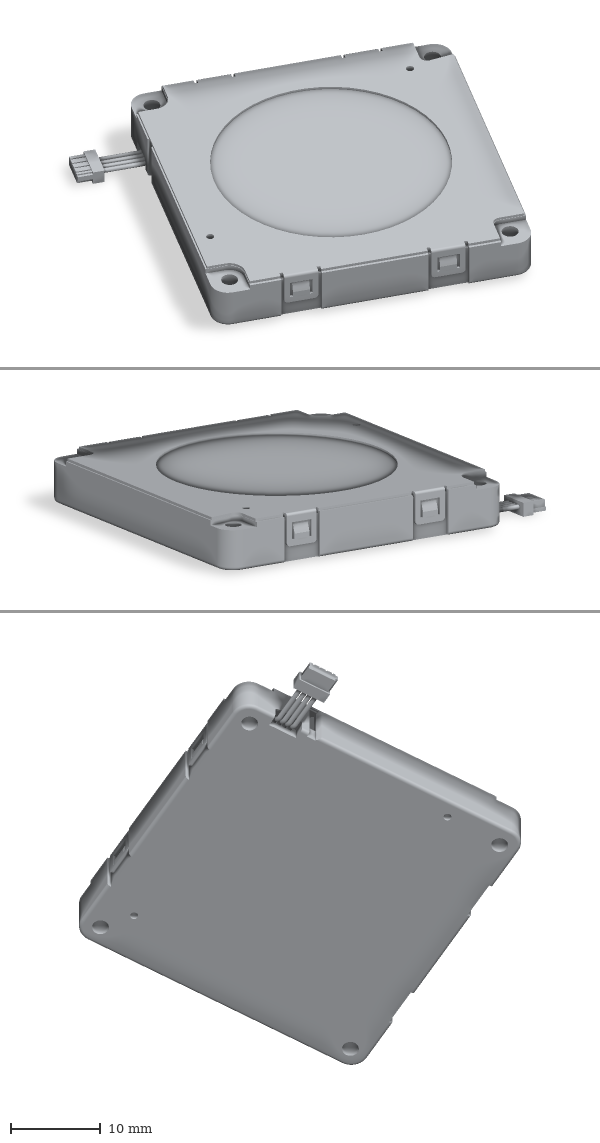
import cadquery as cq

BODY = 37.0
HALF = BODY / 2
HEIGHT = 5.6
COVER_THICK = 0.3
RIM_Z = HEIGHT - COVER_THICK
CORNER_RADIUS = 2.0
BOTTOM_FILLET = 0.4
COVER_INSET_X = 0.3
COVER_INSET_Y = 0.2
HUB_RADIUS = 13.48

MOUNT_OFFSET = 16.2
MOUNT_RADIUS = 0.95
PAD_Z = HEIGHT - 0.9
PAD_X = HALF - 4.07
PAD_Y = HALF - 4.05
PAD_RADIUS = MOUNT_OFFSET - PAD_X
BACK_PAD_Y = HALF - 3.95
BACK_RIGHT_PAD_X = HALF - 3.85
BACK_LEFT_PAD_X = HALF - 3.95
BACK_LEFT_TOP_X = HALF - 3.4
BACK_PAD_RADIUS = 0.85
PAD_OVERRUN = 0.9
COVER_GAP = 0.05

PIN_HOLE_RADIUS = 0.45
PIN_HOLES = [(-13.8, 12.95), (9.25, -16.5)]

CLIP_Y = 8.5
CLIP_RECESS_WIDTH = 4.7
CLIP_RECESS_DEPTH = 0.45
TAB_WIDTH = 3.95
TAB_LENGTH = 3.8
TAB_CORNER = 0.45
TAB_SETBACK = CLIP_RECESS_DEPTH - COVER_THICK
TAB_BEND_RADIUS = 0.3
TAB_ROOT = 0.9
RELIEF_DEPTH = 0.85
RELIEF_DROP = 0.63
WINDOW_WIDTH = 2.6
WINDOW_TOP = HEIGHT - 1.07
WINDOW_HEIGHT = 1.95
WINDOW_BOTTOM = WINDOW_TOP - WINDOW_HEIGHT
LATCH_WIDTH = 1.95
LATCH_TOP = WINDOW_TOP - 0.3
LATCH_STEP_TOP = LATCH_TOP - 0.75
LATCH_STEP_BOTTOM = LATCH_STEP_TOP - 0.25
LATCH_STEP = 0.25
LATCH_REACH = 0.35

GROOVE_LEFT = -9.8
GROOVE_RIGHT = -8.7
GROOVE_CHAMFER = 0.45
GROOVE_DEPTH_LEFT = 1.8
GROOVE_DEPTH_RIGHT = 0.9
GROOVE_LIP_Z = HEIGHT - 0.6
GROOVE_LIP_SETBACK = 0.3
GROOVE_STEP_DEPTH = 0.55
GROOVE_STEP_Z = 1.85
GROOVE_SLOPE_Z = 2.2

WIRE_COUNT = 4
WIRE_RADIUS = 0.25
WIRE_PITCH = 0.65
WIRE_Z = 0.38
WIRE_RISE = 0.8
CABLE_X = -12.63
SLOT_LEFT = -14.25
SLOT_RIGHT = -10.75
SLOT_HEIGHT = 1.7
SLOT_CHAMFER = 0.3
SLOT_DEPTH = 1.35
SLOT_BACK_Y = -HALF + SLOT_DEPTH

NOSE_END_Y = HALF - 44.75
BLOCK_LEFT = -14.7
BLOCK_RIGHT = -10.75
BLOCK_BACK_Y = -23.2
BLOCK_FRONT_Y = -24.55
BLOCK_BOTTOM = -0.55
BLOCK_TOP = 1.07
NOSE_LEFT = -14.5
NOSE_RIGHT = -11.05
NOSE_BOTTOM = -0.3
NOSE_TOP = 0.95
NOSE_LEDGE_Z = 0.15
NOSE_LEDGE = 0.15
NOSE_RIB_TOP = NOSE_TOP - 0.2
NOSE_LENGTH = BLOCK_FRONT_Y - NOSE_END_Y
NOSE_GROOVE_PITCH = 0.8
NOSE_GROOVE_WIDTH = 0.2
NOSE_GROOVE_DEPTH = 0.2
NOSE_GROOVE_X = -12.65


def block(x0, x1, y0, y1, z0, z1):
    """Box between two limits on each axis."""
    return cq.Workplane("XY").box(x1 - x0, y1 - y0, z1 - z0, centered=False).translate((x0, y0, z0))


def round_pad(side, gap):
    """Cutter for a front corner pad; its inner corner is concentric with the mounting hole."""
    outer = HALF + PAD_OVERRUN
    x_wall = PAD_X - gap
    y_wall = PAD_Y - gap
    pad = block(x_wall, outer, y_wall, outer, PAD_Z, HEIGHT)
    pad = pad.edges("|Z and <X and <Y").fillet(PAD_RADIUS)
    return pad.mirror("XZ") if side > 0 else pad.rotate((0, 0, 0), (0, 0, 1), 180)


def back_pad(side, wall_x, top_x, gap):
    """Cutter for a back corner pad whose inner wall runs from wall_x out to top_x at the edge."""
    outer = HALF + PAD_OVERRUN
    pad = (
        cq.Workplane("XY", origin=(0, 0, PAD_Z))
        .moveTo(wall_x - gap, BACK_PAD_Y - gap)
        .lineTo(outer, BACK_PAD_Y - gap)
        .lineTo(outer, outer)
        .lineTo(top_x - gap, outer)
        .lineTo(top_x - gap, HALF)
        .close()
        .extrude(HEIGHT - PAD_Z)
    )
    pad = pad.edges("|Z and <X and <Y").fillet(BACK_PAD_RADIUS)
    return pad if side > 0 else pad.mirror("YZ")


def cut_pads(shape, gap):
    """Cut the four corner pads, with their walls moved inward by gap."""
    for side in (-1, 1):
        shape = shape.cut(round_pad(side, gap))
    shape = shape.cut(back_pad(1, BACK_RIGHT_PAD_X, BACK_RIGHT_PAD_X, gap))
    return shape.cut(back_pad(-1, BACK_LEFT_PAD_X, BACK_LEFT_TOP_X, gap))


def on_all_clips(feature):
    """Copy a feature made for a clip on the -X wall at Y = 0 to all four clips."""
    placed = []
    for y in (-CLIP_Y, CLIP_Y):
        moved = feature.translate((0, y, 0))
        placed.append(moved)
        placed.append(moved.mirror("YZ"))
    return placed


def clip_recess():
    half_width = CLIP_RECESS_WIDTH / 2
    return block(-HALF, -HALF + CLIP_RECESS_DEPTH, -half_width, half_width, 0, HEIGHT)


def clip_tab():
    """Cover tab bent down into the recess, with a window for the latch."""
    outer = -HALF + TAB_SETBACK
    half_width = TAB_WIDTH / 2
    tab = block(outer, outer + COVER_THICK, -half_width, half_width, HEIGHT - TAB_LENGTH, HEIGHT)
    tab = tab.edges("|X and <Z").fillet(TAB_CORNER)
    root = block(outer, -HALF + TAB_ROOT, -half_width, half_width, RIM_Z, HEIGHT)
    tab = tab.union(root).edges("|Y and <X and >Z").fillet(TAB_BEND_RADIUS)
    half_window = WINDOW_WIDTH / 2
    return tab.cut(
        block(-HALF, -HALF + CLIP_RECESS_DEPTH, -half_window, half_window, WINDOW_BOTTOM, WINDOW_TOP)
    )


def clip_latch():
    """Wedge on the recess floor that catches the lower edge of the tab window."""
    floor = -HALF + CLIP_RECESS_DEPTH
    return (
        cq.Workplane("XZ", origin=(0, LATCH_WIDTH / 2, 0))
        .moveTo(floor, LATCH_TOP)
        .lineTo(floor - LATCH_STEP, LATCH_STEP_TOP)
        .lineTo(floor - LATCH_REACH, LATCH_STEP_BOTTOM)
        .lineTo(floor - LATCH_REACH, WINDOW_BOTTOM)
        .lineTo(floor, WINDOW_BOTTOM)
        .close()
        .extrude(LATCH_WIDTH)
    )


def clip_reliefs():
    """Small notches in the top beside the tab."""
    inner = TAB_WIDTH / 2
    outer = CLIP_RECESS_WIDTH / 2
    right = block(-HALF, -HALF + RELIEF_DEPTH, inner, outer, HEIGHT - RELIEF_DROP, HEIGHT)
    return right.union(right.mirror("XZ"))


def front_groove():
    """Upright groove with one chamfered edge, a lip across its top and a shallower lower part."""
    front = -HALF
    back = front + GROOVE_DEPTH_LEFT
    groove = (
        cq.Workplane("XY")
        .moveTo(GROOVE_LEFT, front)
        .lineTo(GROOVE_RIGHT + GROOVE_CHAMFER, front)
        .lineTo(GROOVE_RIGHT, front + GROOVE_CHAMFER)
        .lineTo(GROOVE_RIGHT, front + GROOVE_DEPTH_RIGHT)
        .lineTo(GROOVE_LEFT, back)
        .close()
        .extrude(RIM_Z)
    )
    lip = block(GROOVE_LEFT, GROOVE_RIGHT, front + GROOVE_LIP_SETBACK, back, GROOVE_LIP_Z, RIM_Z)
    step = (
        cq.Workplane("YZ", origin=(GROOVE_LEFT, 0, 0))
        .moveTo(front + GROOVE_STEP_DEPTH, 0)
        .lineTo(back, 0)
        .lineTo(back, GROOVE_SLOPE_Z)
        .lineTo(front + GROOVE_DEPTH_RIGHT, GROOVE_SLOPE_Z)
        .lineTo(front + GROOVE_STEP_DEPTH, GROOVE_STEP_Z)
        .close()
        .extrude(GROOVE_RIGHT - GROOVE_LEFT)
    )
    return groove.cut(lip).cut(step)


def wire_slot():
    slot = block(SLOT_LEFT, SLOT_RIGHT, -HALF, SLOT_BACK_Y, 0, SLOT_HEIGHT)
    return slot.edges("|Y and >Z").chamfer(SLOT_CHAMFER)


def make_fan():
    """Square fan with its clipped-on cover."""
    fan = cq.Workplane("XY").box(BODY, BODY, RIM_Z, centered=(True, True, False))
    fan = fan.edges("|Z").fillet(CORNER_RADIUS)
    fan = fan.faces("<Z").edges().fillet(BOTTOM_FILLET)
    fan = cut_pads(fan, 0)

    cover_x = HALF - COVER_INSET_X
    cover_y = HALF - COVER_INSET_Y
    cover = block(-cover_x, cover_x, -cover_y, cover_y, RIM_Z, HEIGHT)
    fan = fan.union(cut_pads(cover, COVER_GAP))

    for recess in on_all_clips(clip_recess()):
        fan = fan.cut(recess)
    for added in on_all_clips(clip_tab()) + on_all_clips(clip_latch()):
        fan = fan.union(added)
    for relief in on_all_clips(clip_reliefs()):
        fan = fan.cut(relief)

    fan = fan.cut(cq.Workplane("XY", origin=(0, 0, RIM_Z)).circle(HUB_RADIUS).extrude(COVER_THICK))
    mounts = cq.Workplane("XY").rect(2 * MOUNT_OFFSET, 2 * MOUNT_OFFSET, forConstruction=True).vertices()
    fan = fan.cut(mounts.circle(MOUNT_RADIUS).extrude(HEIGHT))
    fan = fan.cut(cq.Workplane("XY").pushPoints(PIN_HOLES).circle(PIN_HOLE_RADIUS).extrude(HEIGHT))

    return fan.cut(front_groove()).cut(wire_slot())


def make_wire(x):
    """Round wire from the connector into the slot, rising in an S-bend to the slot's back wall."""
    path = (
        cq.Workplane("YZ", origin=(x, 0, 0))
        .moveTo(BLOCK_BACK_Y, WIRE_Z)
        .lineTo(-HALF, WIRE_Z)
        .tangentArcPoint((-HALF + SLOT_DEPTH / 2, WIRE_Z + WIRE_RISE / 2), relative=False)
        .tangentArcPoint((SLOT_BACK_Y, WIRE_Z + WIRE_RISE), relative=False)
    )
    start = cq.Workplane("XZ", origin=(x, BLOCK_BACK_Y, WIRE_Z))
    return start.circle(WIRE_RADIUS).sweep(path)


def make_connector():
    """Connector block with a nose that is grooved on top, ledged on the left and ribbed on the right."""
    connector = block(BLOCK_LEFT, BLOCK_RIGHT, BLOCK_FRONT_Y, BLOCK_BACK_Y, BLOCK_BOTTOM, BLOCK_TOP)
    nose = block(NOSE_LEFT, NOSE_RIGHT, NOSE_END_Y, BLOCK_FRONT_Y, NOSE_BOTTOM, NOSE_TOP)
    ledge = block(NOSE_LEFT, NOSE_LEFT + NOSE_LEDGE, NOSE_END_Y, BLOCK_FRONT_Y, NOSE_LEDGE_Z, NOSE_TOP)
    rib = block(NOSE_RIGHT, BLOCK_RIGHT, NOSE_END_Y, BLOCK_FRONT_Y, NOSE_LEDGE_Z, NOSE_RIB_TOP)
    grooves = (
        cq.Workplane("XY", origin=(NOSE_GROOVE_X, NOSE_END_Y + NOSE_LENGTH / 2, NOSE_TOP))
        .rarray(NOSE_GROOVE_PITCH, 0.45, WIRE_COUNT, 1)
        .rect(NOSE_GROOVE_WIDTH, NOSE_LENGTH)
        .extrude(-NOSE_GROOVE_DEPTH)
    )
    return connector.union(nose.cut(ledge)).union(rib).cut(grooves)


fan = make_fan()
connector = make_connector()
wires = []
for i in range(WIRE_COUNT):
    wire_x = CABLE_X + (i - (WIRE_COUNT - 1) / 2) * WIRE_PITCH
    wires.append(make_wire(wire_x).val())

result = cq.Compound.makeCompound([fan.val(), connector.val(), *wires])